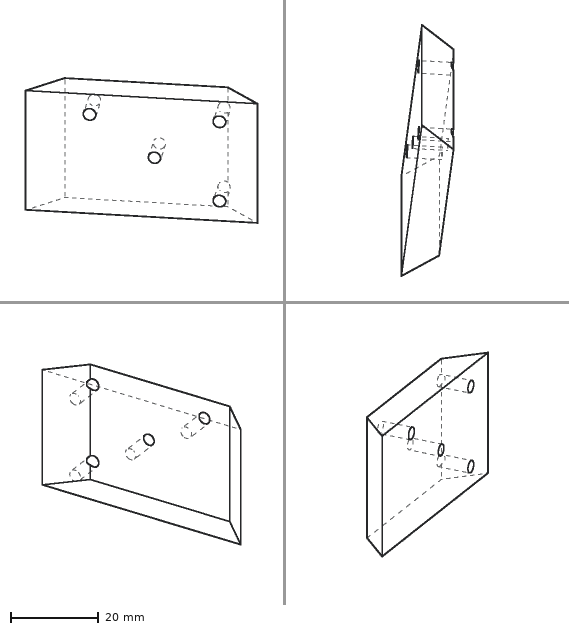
import cadquery as cq
import math

side = 37.92
height = 30.1
thickness = 8.0
end_width = thickness * math.sqrt(2)

corner_hole_diameter = 2.9
center_hole_diameter = 2.8
pattern_pitch_along = 15.0
pattern_pitch_up = 10.0
pattern_offset_along = 3.0
pattern_center_along = side * math.sqrt(2) / 2 + pattern_offset_along
pattern_center_up = 15.0


def plate():
    """Parallelogram prism with its long face from the origin to (side, side)."""
    outline = [
        (0, 0),
        (side, side),
        (side - end_width, side),
        (0, end_width),
    ]
    return cq.Workplane("XY").polyline(outline).close().extrude(height)


def hole_cutters(diameter, pattern_steps):
    """Cylinders square to the long face, one for each (along, up) pattern step."""
    long_face = cq.Plane(origin=(0, 0, 0), xDir=(1, 1, 0), normal=(1, -1, 0))
    centers = []
    for step_along, step_up in pattern_steps:
        along = pattern_center_along + step_along * pattern_pitch_along
        up = pattern_center_up + step_up * pattern_pitch_up
        centers.append((along, up))
    return cq.Workplane(long_face).pushPoints(centers).circle(diameter / 2).extrude(-thickness)


corner_steps = [(-1, 1), (1, 1), (1, -1)]
center_steps = [(0, 0)]

result = (
    plate()
    .cut(hole_cutters(corner_hole_diameter, corner_steps))
    .cut(hole_cutters(center_hole_diameter, center_steps))
)